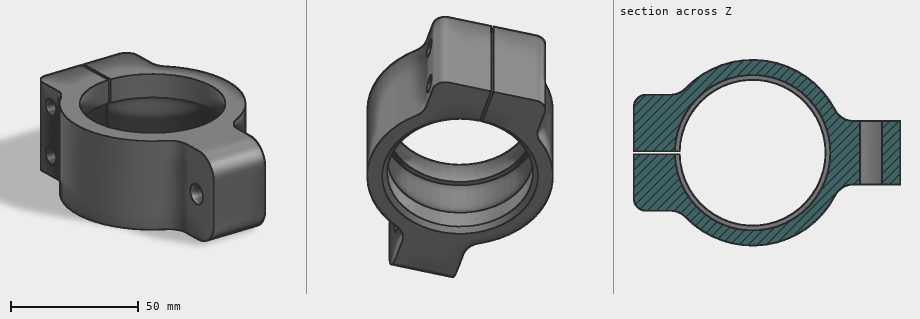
import cadquery as cq
import math

length = 104.5
height = 38.0
ring_diameter = 72.8
ring_radius = ring_diameter / 2
bore_radius = 28.5
clamp_end = -46.6
lug_end = clamp_end + length

clamp_width = 45.6
clamp_corner_radius = 5.0
lug_width = 25.0
lug_corner_radius = 10.0
blend_radius = 8.0
slot_width = 1.0

groove_depth = 1.9
bore_lip_height = 10.0

bore_chamfer = 2.0

clamp_hole_diameter = 7.0
clamp_hole_x = clamp_end + 10.2
clamp_hole_spacing = 20.8
lug_hole_diameter = 8.5
lug_hole_x = lug_end - 11.5


def blend_points(half_width, side):
    """Tangent points and midpoint of the fillet joining the ring to a straight arm."""
    center_y = half_width + blend_radius
    center_distance = ring_radius + blend_radius
    center_x = side * math.sqrt(center_distance**2 - center_y**2)
    ring_share = ring_radius / center_distance
    on_ring = (center_x * ring_share, center_y * ring_share)
    on_arm = (center_x, half_width)
    ring_angle = math.atan2(center_y, center_x) - math.pi
    middle_angle = (ring_angle - math.pi / 2) / 2
    middle = (
        center_x + blend_radius * math.cos(middle_angle),
        center_y + blend_radius * math.sin(middle_angle),
    )
    return on_ring, middle, on_arm


def mirrored(point):
    return (point[0], -point[1])


def make_body():
    clamp_ring, clamp_middle, clamp_arm = blend_points(clamp_width / 2, -1)
    lug_ring, lug_middle, lug_arm = blend_points(lug_width / 2, 1)
    body = (
        cq.Workplane("XY")
        .moveTo(clamp_end, clamp_width / 2)
        .lineTo(*clamp_arm)
        .threePointArc(clamp_middle, clamp_ring)
        .threePointArc((0, ring_radius), lug_ring)
        .threePointArc(lug_middle, lug_arm)
        .lineTo(lug_end, lug_width / 2)
        .lineTo(lug_end, -lug_width / 2)
        .lineTo(*mirrored(lug_arm))
        .threePointArc(mirrored(lug_middle), mirrored(lug_ring))
        .threePointArc((0, -ring_radius), mirrored(clamp_ring))
        .threePointArc(mirrored(clamp_middle), mirrored(clamp_arm))
        .lineTo(clamp_end, -clamp_width / 2)
        .close()
        .extrude(height)
    )
    body = body.faces("<X").edges("|Z").fillet(clamp_corner_radius)
    return body.faces(">X").edges("|Y").fillet(lug_corner_radius)


def make_bore():
    groove_height = height - 2 * bore_lip_height
    bore = cq.Workplane("XY").circle(bore_radius).extrude(height)
    groove = (
        cq.Workplane("XY")
        .workplane(offset=bore_lip_height)
        .circle(bore_radius + groove_depth)
        .extrude(groove_height)
    )
    bevel = (
        cq.Workplane("XY")
        .circle(bore_radius + bore_chamfer)
        .workplane(offset=bore_chamfer)
        .circle(bore_radius)
        .loft()
    )
    return bore.union(groove).union(bevel)


def make_slot():
    """Split from the clamp end face to the bore axis."""
    slot = cq.Workplane("XY").box(-clamp_end, slot_width, height, centered=(False, True, False))
    return slot.translate((clamp_end, 0, 0))


def cross_hole(diameter, x, z):
    return (
        cq.Workplane("XZ")
        .center(x, z)
        .circle(diameter / 2)
        .extrude(ring_radius, both=True)
    )


result = make_body().cut(make_bore()).cut(make_slot())
for direction in (-1, 1):
    hole_z = height / 2 + direction * clamp_hole_spacing / 2
    result = result.cut(cross_hole(clamp_hole_diameter, clamp_hole_x, hole_z))
result = result.cut(cross_hole(lug_hole_diameter, lug_hole_x, height / 2))